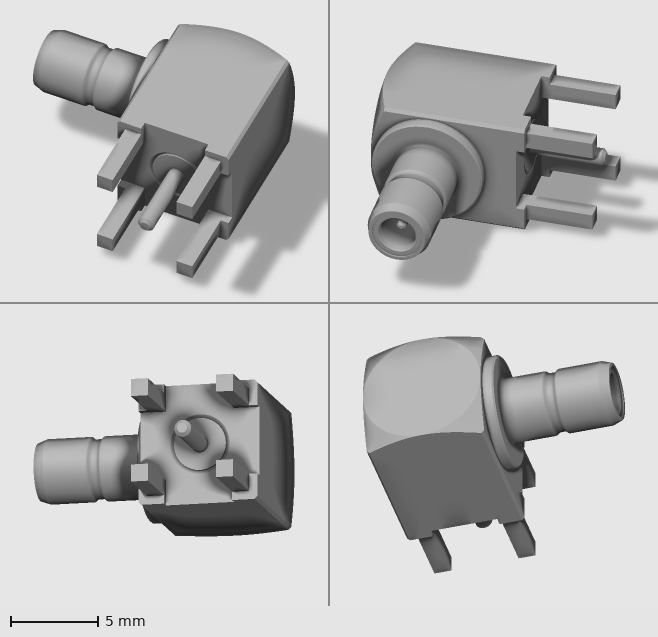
import cadquery as cq
import math

body_width = 7.0
half_width = body_width / 2
edge_chamfer = 0.17
back_y = half_width
overall_length = 13.0
overall_width = 14.1
body_length = 9.1
tip_y = back_y - overall_length
foot_y = back_y - body_length
foot_height = 0.5
face_y = foot_y + foot_height
foot_size = 1.5
crown_angle = 30

leg_size = 1.0
leg_inset = 0.5
leg_center = half_width - leg_inset - leg_size / 2

pin_radius = 0.5
pin_chamfer = 0.2
socket_radius = 1.73
socket_taper = 0.21

jack_tip_x = half_width - overall_width
jack_radius = 1.88
nose_radius = 1.68
nose_length = 0.56
groove_start = 3.15
groove_end = 3.9
groove_depth = 0.15
groove_rounding = 0.14
root_fillet = 0.2
flange_radius = 3.27
flange_thickness = 0.68
flange_chamfer = 0.1
flange_gap = 0.05
neck_radius = 3.17
flange_x = -half_width - flange_thickness

recess_radius = 1.48
recess_depth = 0.08
bore_radius = 1.09
bore_depth = 5.64
bore_mouth_chamfer = 0.07
contact_radius = 0.28
contact_chamfer = 0.17
contact_length = 4.8


def make_body():
    """Square block with broken edges and a conical crown on its back."""
    body = cq.Workplane("XY").box(body_width, body_length, body_width)
    body = body.translate((0, (back_y + foot_y) / 2, 0))
    body = body.edges("|Y").chamfer(edge_chamfer)
    envelope_radius = body_width
    crown_drop = (envelope_radius - half_width) * math.tan(math.radians(crown_angle))
    envelope = (
        cq.Workplane("XY")
        .moveTo(0, foot_y)
        .lineTo(envelope_radius, foot_y)
        .lineTo(envelope_radius, back_y - crown_drop)
        .lineTo(half_width, back_y)
        .lineTo(0, back_y)
        .close()
        .revolve(360, (0, 0, 0), (0, 1, 0))
    )
    return body.intersect(envelope)


def cut_face(body):
    """Lower the front face between four corner feet and ring the flush insulator with a tapered groove."""
    gap = body_width - 2 * foot_size
    for width, height in ((gap, body_width), (body_width, gap)):
        channel = cq.Workplane("XY").box(width, foot_height, height)
        body = body.cut(channel.translate((0, foot_y + foot_height / 2, 0)))
    socket = cq.Solid.makeCone(
        socket_radius, socket_radius - socket_taper, socket_taper,
        cq.Vector(0, face_y, 0), cq.Vector(0, 1, 0),
    )
    insulator = cq.Workplane("XZ", origin=(0, face_y + socket_taper, 0))
    insulator = insulator.circle(socket_radius - socket_taper).extrude(socket_taper)
    return body.cut(cq.Workplane(socket)).union(insulator)


def make_legs():
    """Four square legs on the corner feet."""
    return (
        cq.Workplane("XZ", origin=(0, foot_y, 0))
        .rect(2 * leg_center, 2 * leg_center, forConstruction=True)
        .vertices()
        .rect(leg_size, leg_size)
        .extrude(foot_y - tip_y)
    )


def make_pin():
    """Round centre pin with a chamfered tip, standing on the insulator."""
    pin = cq.Workplane("XZ", origin=(0, face_y, 0)).circle(pin_radius).extrude(face_y - tip_y)
    return pin.faces("<Y").chamfer(pin_chamfer)


def make_jack():
    """Turned snap-on barrel with its groove, root fillet and flange."""
    groove_radius = jack_radius - groove_depth
    barrel = (
        cq.Workplane("XY")
        .moveTo(jack_tip_x, 0)
        .lineTo(jack_tip_x, nose_radius)
        .lineTo(jack_tip_x + nose_length, jack_radius)
        .lineTo(jack_tip_x + groove_start, jack_radius)
        .lineTo(jack_tip_x + groove_start + groove_depth, groove_radius)
        .lineTo(jack_tip_x + groove_end - groove_depth, groove_radius)
        .lineTo(jack_tip_x + groove_end, jack_radius)
        .lineTo(flange_x - root_fillet, jack_radius)
        .radiusArc((flange_x, jack_radius + root_fillet), -root_fillet)
        .lineTo(flange_x, flange_radius - flange_chamfer)
        .lineTo(flange_x + flange_chamfer, flange_radius)
        .lineTo(-half_width - flange_gap, flange_radius)
        .lineTo(-half_width - flange_gap, neck_radius)
        .lineTo(-half_width, neck_radius)
        .lineTo(-half_width, 0)
        .close()
        .revolve(360, (0, 0, 0), (1, 0, 0))
    )
    groove_zone = cq.selectors.BoxSelector(
        (jack_tip_x + nose_length + groove_rounding, -jack_radius, -jack_radius),
        (flange_x - root_fillet - groove_rounding, jack_radius, jack_radius),
    )
    return barrel.edges("%CIRCLE").edges(groove_zone).fillet(groove_rounding)


def cut_bore(part):
    """Shallow mouth recess and blind chamfered bore, with the contact inside."""
    floor_x = jack_tip_x + bore_depth
    mouth_x = jack_tip_x + recess_depth
    bore = (
        cq.Workplane("XY")
        .moveTo(jack_tip_x, 0)
        .lineTo(jack_tip_x, recess_radius)
        .lineTo(mouth_x, recess_radius)
        .lineTo(mouth_x, bore_radius + bore_mouth_chamfer)
        .lineTo(mouth_x + bore_mouth_chamfer, bore_radius)
        .lineTo(floor_x, bore_radius)
        .lineTo(floor_x, 0)
        .close()
        .revolve(360, (0, 0, 0), (1, 0, 0))
    )
    contact = cq.Workplane("YZ", origin=(floor_x, 0, 0)).circle(contact_radius).extrude(-contact_length)
    contact = contact.faces("<X").chamfer(contact_chamfer)
    return part.cut(bore).union(contact)


body = cut_face(make_body())
result = cut_bore(body.union(make_legs()).union(make_pin()).union(make_jack()))